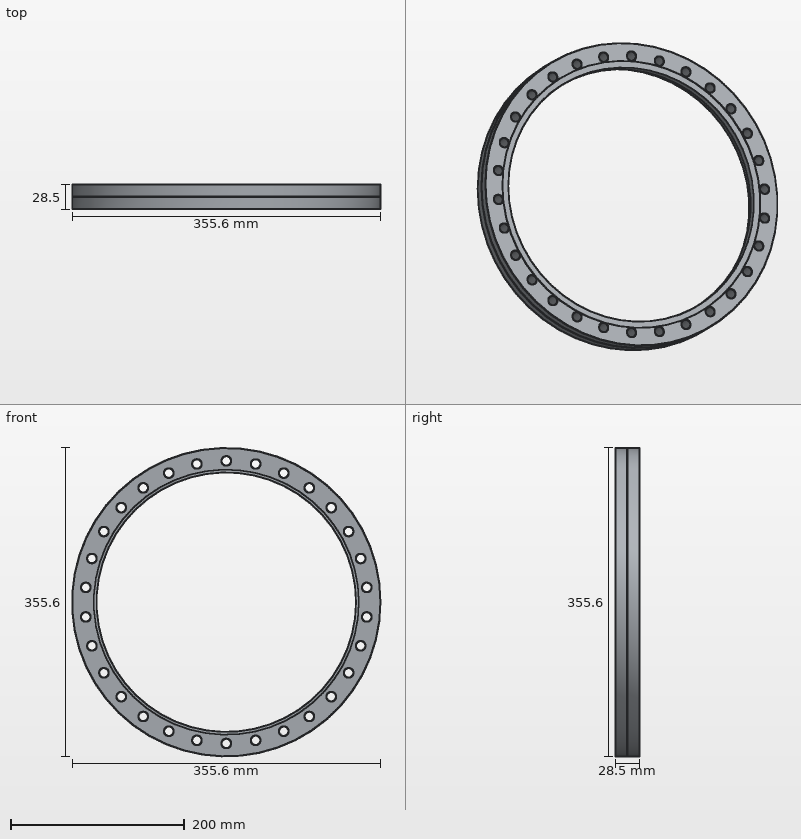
import cadquery as cq

outer_diameter = 355.6
thickness = 28.45
bore_diameter = 298.5
edge_chamfer = 0.5

socket_diameter = 305.3
socket_depth = 15.75

recess_diameter = 313.54
recess_depth = 1.2

groove_width = 1.0
groove_depth = 0.5

bolt_count = 30
bolt_hole_diameter = 10.5
bolt_circle_diameter = 325.4

outer_radius = outer_diameter / 2
front_y = -thickness / 2
back_y = thickness / 2
axis_start = (0, 0, 0)
axis_end = (0, 1, 0)


def revolve_about_y(points):
    """Solid swept by a closed outline of (radius, y) points turning about the Y axis."""
    return cq.Workplane("XY").polyline(points).close().revolve(360, axis_start, axis_end)


def flange_ring():
    """Ring with stepped bore, chamfered rim edges and a V groove around the rim."""
    bore_radius = bore_diameter / 2
    socket_radius = socket_diameter / 2
    recess_radius = recess_diameter / 2
    ledge_y = front_y + socket_depth
    recess_floor_y = back_y - recess_depth
    return revolve_about_y([
        (socket_radius, front_y),
        (outer_radius - edge_chamfer, front_y),
        (outer_radius, front_y + edge_chamfer),
        (outer_radius, -groove_width / 2),
        (outer_radius - groove_depth, 0),
        (outer_radius, groove_width / 2),
        (outer_radius, back_y - edge_chamfer),
        (outer_radius - edge_chamfer, back_y),
        (recess_radius, back_y),
        (recess_radius, recess_floor_y),
        (bore_radius, recess_floor_y),
        (bore_radius, ledge_y),
        (socket_radius, ledge_y),
    ])


def bolt_hole():
    """Cutter for one through hole, flared at both ends, centred on the Y axis."""
    hole_radius = bolt_hole_diameter / 2
    mouth_radius = hole_radius + edge_chamfer
    return revolve_about_y([
        (0, front_y),
        (mouth_radius, front_y),
        (hole_radius, front_y + edge_chamfer),
        (hole_radius, back_y - edge_chamfer),
        (mouth_radius, back_y),
        (0, back_y),
    ])


def bolt_hole_circle():
    """All bolt hole cutters, evenly spaced on the bolt circle."""
    top_hole = bolt_hole().translate((0, 0, bolt_circle_diameter / 2)).val()
    pitch_angle = 360 / bolt_count
    holes = [top_hole.rotate(axis_start, axis_end, i * pitch_angle) for i in range(bolt_count)]
    return cq.Workplane(obj=cq.Compound.makeCompound(holes))


result = flange_ring().cut(bolt_hole_circle())